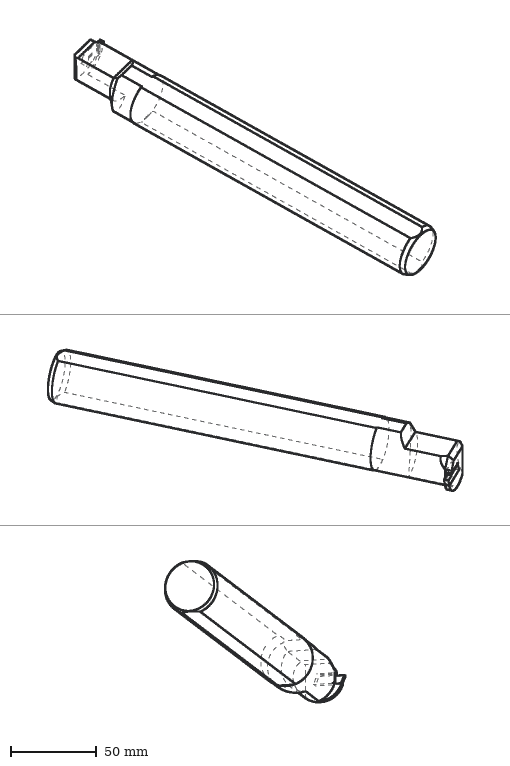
import cadquery as cq

LENGTH = 250.0

SHANK_RADIUS = 16.0
FLAT_HEIGHT = 15.0
REAR_CHAMFER_LENGTH = 3.0
REAR_CHAMFER_DEPTH = 1.2

COLLAR_RADIUS = 15.8
COLLAR_END = 50.0
STEP_LENGTH = 0.8

HEAD_RADIUS = 14.8
HEAD_OFFSET = 5.5
HEAD_TOP = 9.8
HEAD_LENGTH = 30.0
TOP_BEVEL_LENGTH = 4.0
TOP_BEVEL_DEPTH = 1.5
SIDE_BEVEL = 5.8

INSERT_THICKNESS = 4.0
TIP_THICKNESS = 2.8
INSERT_TIP = 21.0
INSERT_TIP_BOTTOM = 19.0
INSERT_TIP_HEIGHT = 0.0
INSERT_BOTTOM = -4.8
INSERT_TOP = 0.8
INSERT_TOP_START = 15.5
INSERT_BACK_BOTTOM = 2.8
INSERT_BACK_TOP = 4.8
SEAT_GAP = 0.8

RELIEF_ANGLE = 37.0
RELIEF_DISTANCE = 14.2
RELIEF_RUNOUT = 3.8

CUT_SIZE = 4 * SHANK_RADIUS


def cylinder(radius, start, end, y=0.0):
    """Round bar parallel to X."""
    return cq.Workplane("YZ", origin=(start, y, 0)).circle(radius).extrude(end - start)


def cone(start_radius, end_radius, start, end, y=0.0):
    """Round taper parallel to X."""
    return cq.Workplane(obj=cq.Solid.makeCone(
        start_radius, end_radius, end - start, cq.Vector(start, y, 0), cq.Vector(1, 0, 0)))


def side_prism(points):
    """Outline in XZ, extruded symmetrically along Y."""
    return cq.Workplane("XZ").polyline(points).close().extrude(CUT_SIZE, both=True)


def make_shank():
    chamfer_start = LENGTH - REAR_CHAMFER_LENGTH
    shank = cone(COLLAR_RADIUS, SHANK_RADIUS, COLLAR_END, COLLAR_END + STEP_LENGTH)
    shank = shank.union(cylinder(SHANK_RADIUS, COLLAR_END + STEP_LENGTH, chamfer_start))
    shank = shank.union(cone(SHANK_RADIUS, SHANK_RADIUS - REAR_CHAMFER_DEPTH, chamfer_start, LENGTH))
    flats = cq.Workplane("XY").box(2 * LENGTH, CUT_SIZE, 2 * FLAT_HEIGHT)
    return shank.intersect(flats)


def make_head_and_collar():
    rise = FLAT_HEIGHT - HEAD_TOP
    growth = CUT_SIZE / 2
    cone_end = HEAD_LENGTH + growth
    body = cylinder(HEAD_RADIUS, 0, HEAD_LENGTH, HEAD_OFFSET)
    body = body.union(cone(HEAD_RADIUS, HEAD_RADIUS + growth, HEAD_LENGTH, cone_end, HEAD_OFFSET))
    body = body.union(cylinder(HEAD_RADIUS + growth, cone_end, LENGTH, HEAD_OFFSET))

    body = body.intersect(cylinder(COLLAR_RADIUS, 0, COLLAR_END))
    body = body.union(make_blade())

    top_profile = side_prism([
        (0, -CUT_SIZE),
        (0, HEAD_TOP - TOP_BEVEL_DEPTH),
        (TOP_BEVEL_LENGTH, HEAD_TOP),
        (HEAD_LENGTH, HEAD_TOP),
        (HEAD_LENGTH + rise, FLAT_HEIGHT),
        (COLLAR_END, FLAT_HEIGHT),
        (COLLAR_END, -CUT_SIZE),
    ])
    return body.intersect(top_profile).cut(make_side_bevel())


def make_blade():
    """Thin part of the nose that supports the insert beyond the collar."""
    disc = cylinder(HEAD_RADIUS, 0, TIP_THICKNESS, HEAD_OFFSET)
    below_insert = cq.Workplane("XY").box(
        CUT_SIZE, CUT_SIZE, CUT_SIZE).translate((0, 0, INSERT_BOTTOM - CUT_SIZE / 2))
    return disc.intersect(below_insert)


def make_side_bevel():
    side = HEAD_OFFSET - HEAD_RADIUS
    corner = [(0, side), (SIDE_BEVEL, side), (0, side + SIDE_BEVEL)]
    return cq.Workplane("XY").polyline(corner).close().extrude(CUT_SIZE, both=True)


def make_relief():
    """Cut at the nose corner: a flat face, then a slope running out to the collar radius."""
    relief_end = INSERT_THICKNESS + RELIEF_RUNOUT
    profile = [
        (0, RELIEF_DISTANCE),
        (INSERT_THICKNESS, RELIEF_DISTANCE),
        (relief_end, COLLAR_RADIUS),
        (relief_end, CUT_SIZE),
        (0, CUT_SIZE),
    ]
    relief = cq.Workplane("XY").polyline(profile).close().extrude(CUT_SIZE, both=True)
    relief = relief.rotate((0, 0, 0), (1, 0, 0), RELIEF_ANGLE)
    above_insert = cq.Workplane("XY").box(
        CUT_SIZE, CUT_SIZE, CUT_SIZE).translate((0, 0, INSERT_TOP + CUT_SIZE / 2))
    return relief.intersect(above_insert)


def make_seat():
    """Recess in the front face, open towards +Y, that holds the insert."""
    outline = [
        (INSERT_TIP, INSERT_BOTTOM),
        (INSERT_BACK_BOTTOM, INSERT_BOTTOM),
        (INSERT_BACK_TOP, INSERT_TOP),
        (INSERT_BACK_TOP, INSERT_TOP + SEAT_GAP),
        (INSERT_TIP, INSERT_TOP + SEAT_GAP),
    ]
    return cq.Workplane("YZ").polyline(outline).close().extrude(INSERT_THICKNESS)


def make_holder():
    holder = make_shank().union(make_head_and_collar())
    return holder.cut(make_relief()).cut(make_seat())


def make_insert():
    outline = [
        (INSERT_TIP, INSERT_TIP_HEIGHT),
        (INSERT_TIP_BOTTOM, INSERT_BOTTOM),
        (INSERT_BACK_BOTTOM, INSERT_BOTTOM),
        (INSERT_BACK_TOP, INSERT_TOP),
        (INSERT_TOP_START, INSERT_TOP),
        (INSERT_TOP_START, INSERT_TIP_HEIGHT),
    ]
    insert = cq.Workplane("YZ").polyline(outline).close().extrude(INSERT_THICKNESS)
    behind_tip = cq.Workplane("YZ", origin=(TIP_THICKNESS, INSERT_TOP_START + CUT_SIZE / 2, 0))
    return insert.cut(behind_tip.rect(CUT_SIZE, CUT_SIZE).extrude(INSERT_THICKNESS))


holder = make_holder()
insert = make_insert()
result = cq.Compound.makeCompound([*holder.solids().vals(), *insert.solids().vals()])